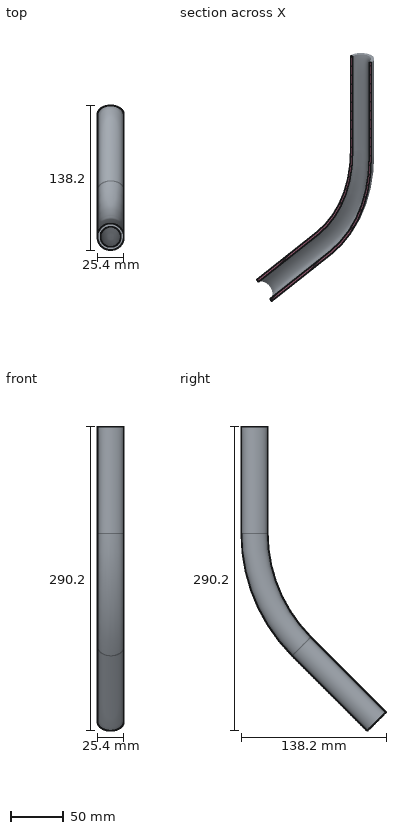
import cadquery as cq
import math

OUTER_DIAMETER = 25.4
INNER_DIAMETER = 19.3
LEG_LENGTH = 101.6
BEND_RADIUS = 152.4
BEND_ANGLE = 45.0


def bend_point(angle_degrees):
    """Centreline point (Y, Z) in the bend, which starts at the origin and curves down toward +Y."""
    angle = math.radians(angle_degrees)
    y = BEND_RADIUS * (1 - math.cos(angle))
    z = -BEND_RADIUS * math.sin(angle)
    return y, z


def make_centreline():
    """Vertical upper leg, tangent bend, then the inclined lower leg."""
    bend_end_y, bend_end_z = bend_point(BEND_ANGLE)
    slope = math.radians(BEND_ANGLE)
    lower_end = (
        bend_end_y + LEG_LENGTH * math.sin(slope),
        bend_end_z - LEG_LENGTH * math.cos(slope),
    )
    return (
        cq.Workplane("YZ")
        .moveTo(0, LEG_LENGTH)
        .lineTo(0, 0)
        .threePointArc(bend_point(BEND_ANGLE / 2), (bend_end_y, bend_end_z))
        .lineTo(*lower_end)
    )


def make_tube(centreline):
    """Sweep the ring-shaped cross-section from the upper end along the centreline."""
    return (
        cq.Workplane("XY", origin=(0, 0, LEG_LENGTH))
        .circle(OUTER_DIAMETER / 2)
        .circle(INNER_DIAMETER / 2)
        .sweep(centreline)
    )


result = make_tube(make_centreline())